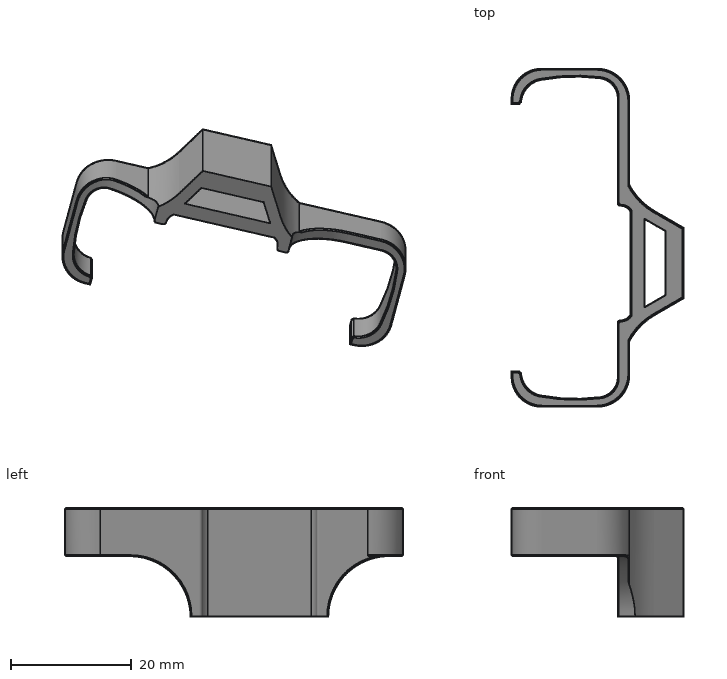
import cadquery as cq
import math

length = 56.0
height = 18.0
depth = 28.5
half_length = length / 2
edge_chamfer = 0.2
selection_margin = 0.05

wall_outer_x = 19.55
wall_inner_x = 17.6
back_corner_radius = 5.4
tip_corner_radius = 5.05
tip_y = 22.1
tip_width = 1.6
tip_bevel = 0.35
inner_corner_y = 23.1

back_arc_end = (14.7, 26.4)
crown_end = (4.8, 26.1)

mount_y = -4.2
mount_half_width = 5.8
flank_angle = math.radians(30)
flank_start_x = 23.65
flare_half_width = 12.9

recess_x = 19.7
recess_half_width = 8.55
recess_mouth_half_width = 9.95
recess_lip_radius = 0.5

slot_inner_x = 22.05
slot_outer_x = 25.5
slot_half_width = 7.3

arm_bottom_z = 9.95
hook_flat_x = 16.25
leg_half_width = 11.4


def corner_mid(center_x, center_y, radius, side):
    """Point halfway round a quarter-circle outer corner on the +Y end."""
    offset = radius * math.sqrt(0.5)
    return (center_x + side * offset, center_y + offset)


def half_body(mount_offset):
    """Hook, wall and half of the mount on the +Y side of the mount's middle."""
    flank_half_width = mount_half_width + (depth - flank_start_x) * math.tan(flank_angle)
    back_x = wall_outer_x - back_corner_radius
    back_y = half_length - back_corner_radius
    front_y = half_length - tip_corner_radius
    recess_y = mount_offset + recess_half_width
    mouth_y = mount_offset + recess_mouth_half_width
    lip_x = wall_inner_x + recess_lip_radius
    lip_y = mouth_y - recess_lip_radius
    recess_arc_radius = math.hypot(recess_x - lip_x, lip_y - recess_y) ** 2 / (2 * (lip_y - recess_y))
    flare_run = flank_start_x - wall_outer_x
    flare_rise = flare_half_width - flank_half_width
    flare_turn = math.atan2(flare_rise, flare_run) - flank_angle
    flare_radius = math.hypot(flare_run, flare_rise) / (2 * math.sin(flare_turn))
    return (
        cq.Workplane("XY")
        .moveTo(recess_x, mount_offset)
        .lineTo(recess_x, recess_y)
        .radiusArc((lip_x, lip_y), -recess_arc_radius)
        .radiusArc((wall_inner_x, mouth_y), recess_lip_radius)
        .lineTo(wall_inner_x, inner_corner_y)
        .tangentArcPoint(back_arc_end, relative=False)
        .tangentArcPoint(crown_end, relative=False)
        .tangentArcPoint((tip_width, tip_y + tip_bevel), relative=False)
        .lineTo(tip_width - tip_bevel, tip_y)
        .lineTo(0, tip_y)
        .lineTo(0, front_y)
        .threePointArc(
            corner_mid(tip_corner_radius, front_y, tip_corner_radius, -1),
            (tip_corner_radius, half_length),
        )
        .lineTo(back_x, half_length)
        .threePointArc(
            corner_mid(back_x, back_y, back_corner_radius, 1),
            (wall_outer_x, back_y),
        )
        .lineTo(wall_outer_x, mount_offset + flare_half_width)
        .radiusArc((flank_start_x, mount_offset + flank_half_width), -flare_radius)
        .lineTo(depth, mount_offset + mount_half_width)
        .lineTo(depth, mount_offset)
        .close()
        .extrude(height)
    )


def strap_slot():
    """Trapezoid through-slot whose ends run parallel to the mount flanks."""
    narrow_half_width = slot_half_width - (slot_outer_x - slot_inner_x) * math.tan(flank_angle)
    return (
        cq.Workplane("XY")
        .polyline([
            (slot_inner_x, mount_y - slot_half_width),
            (slot_outer_x, mount_y - narrow_half_width),
            (slot_outer_x, mount_y + narrow_half_width),
            (slot_inner_x, mount_y + slot_half_width),
        ])
        .close()
        .extrude(height)
    )


def arm_relief(side):
    """Space below one arm, with a quarter-round where the arm meets the leg."""
    leg_y = mount_y + side * leg_half_width
    arch_end_y = leg_y + side * arm_bottom_z
    arch_mid_y = arch_end_y - side * arm_bottom_z * math.sqrt(0.5)
    return (
        cq.Workplane("YZ")
        .moveTo(leg_y, 0)
        .threePointArc((arch_mid_y, arm_bottom_z * math.sqrt(0.5)), (arch_end_y, arm_bottom_z))
        .lineTo(side * length, arm_bottom_z)
        .lineTo(side * length, 0)
        .close()
        .extrude(depth)
    )


body = half_body(mount_y).union(half_body(-mount_y).mirror("XZ"))
for side in (1, -1):
    body = body.cut(arm_relief(side))
hook_clearance = cq.Workplane("XY").box(
    hook_flat_x, length, arm_bottom_z, centered=(False, True, False)
)
body = body.cut(hook_clearance)

body = body.faces(">Z").chamfer(edge_chamfer)
for side in (1, -1):
    rim_box = cq.selectors.BoxSelector(
        (-selection_margin, mount_y + side * (leg_half_width - selection_margin), -selection_margin),
        (wall_outer_x + selection_margin, side * length, arm_bottom_z + selection_margin),
        boundingbox=True,
    )
    body = body.edges(rim_box).chamfer(edge_chamfer)

result = body.cut(strap_slot())